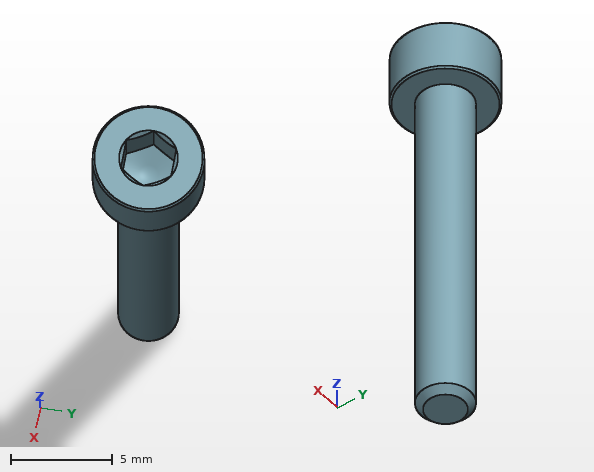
import cadquery as cq
import math

HEAD_DIAMETER = 5.5
HEAD_HEIGHT = 3.0
HEAD_TOP_CHAMFER = 0.1
SEAT_CHAMFER = 0.1

SHANK_DIAMETER = 3.0
SHANK_LENGTH = 20.0
TIP_CHAMFER = 0.4

SOCKET_ACROSS_FLATS = 2.5
SOCKET_DEPTH = 2.0
SOCKET_BOTTOM_ANGLE = 140.0
SOCKET_LEAD_IN_ANGLE = 90.0

SOCKET_ACROSS_CORNERS = SOCKET_ACROSS_FLATS / math.cos(math.radians(30))


def cone_height(radius, included_angle):
    """Height of a pointed cone with the given base radius."""
    return radius / math.tan(math.radians(included_angle / 2))


def downward_cone(radius, included_angle, base_z):
    """Pointed cone whose base lies at base_z and whose tip points to -Z."""
    height = cone_height(radius, included_angle)
    return cq.Workplane(
        cq.Solid.makeCone(radius, 0, height, cq.Vector(0, 0, base_z), cq.Vector(0, 0, -1))
    )


def make_body():
    """Head and shank as one revolved half profile (radius, Z)."""
    head_radius = HEAD_DIAMETER / 2
    shank_radius = SHANK_DIAMETER / 2
    profile = [
        (0, HEAD_HEIGHT),
        (head_radius - HEAD_TOP_CHAMFER, HEAD_HEIGHT),
        (head_radius, HEAD_HEIGHT - HEAD_TOP_CHAMFER),
        (head_radius, SEAT_CHAMFER),
        (head_radius - SEAT_CHAMFER, 0),
        (shank_radius, 0),
        (shank_radius, TIP_CHAMFER - SHANK_LENGTH),
        (shank_radius - TIP_CHAMFER, -SHANK_LENGTH),
        (0, -SHANK_LENGTH),
    ]
    return cq.Workplane("XZ").polyline(profile).close().revolve(360, (0, 0), (0, 1))


def make_socket():
    """Hexagonal recess with corners on X, a conical bottom and a conical lead-in."""
    corner_radius = SOCKET_ACROSS_CORNERS / 2
    floor_z = HEAD_HEIGHT - SOCKET_DEPTH
    point_height = cone_height(corner_radius, SOCKET_BOTTOM_ANGLE)
    hexagon = (
        cq.Workplane("XY", origin=(0, 0, floor_z - point_height))
        .polygon(6, SOCKET_ACROSS_CORNERS)
        .extrude(SOCKET_DEPTH + point_height)
    )
    drilled_hole = (
        cq.Workplane("XY", origin=(0, 0, floor_z))
        .circle(corner_radius)
        .extrude(SOCKET_DEPTH)
        .union(downward_cone(corner_radius, SOCKET_BOTTOM_ANGLE, floor_z))
    )
    lead_in = downward_cone(corner_radius, SOCKET_LEAD_IN_ANGLE, HEAD_HEIGHT)
    return hexagon.intersect(drilled_hole).union(lead_in)


result = make_body().cut(make_socket())